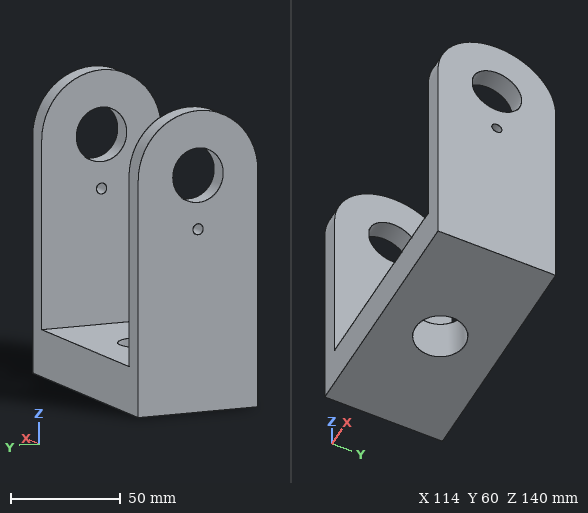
import cadquery as cq

width = 114.0
depth = 60.0
height = 140.0

arm_thickness = 10.0
base_thickness = 22.0
arm_radius = depth / 2
pivot_height = height - arm_radius

pivot_diameter = 25.2
base_hole_diameter = 25.0
pin_diameter = 5.0
pin_drop = 25.0


def cross_hole(diameter, z):
    """Cylinder along X that passes through both arms at height z."""
    return (
        cq.Workplane("YZ")
        .center(0, z)
        .circle(diameter / 2)
        .extrude(width, both=True)
    )


body = (
    cq.Workplane("YZ")
    .moveTo(-arm_radius, 0)
    .lineTo(arm_radius, 0)
    .lineTo(arm_radius, pivot_height)
    .threePointArc((0, height), (-arm_radius, pivot_height))
    .close()
    .extrude(width / 2, both=True)
)

gap = (
    cq.Workplane("XY")
    .workplane(offset=base_thickness)
    .rect(width - 2 * arm_thickness, 2 * depth)
    .extrude(height)
)

base_hole = cq.Workplane("XY").circle(base_hole_diameter / 2).extrude(base_thickness)

result = (
    body.cut(gap)
    .cut(base_hole)
    .cut(cross_hole(pivot_diameter, pivot_height))
    .cut(cross_hole(pin_diameter, pivot_height - pin_drop))
)